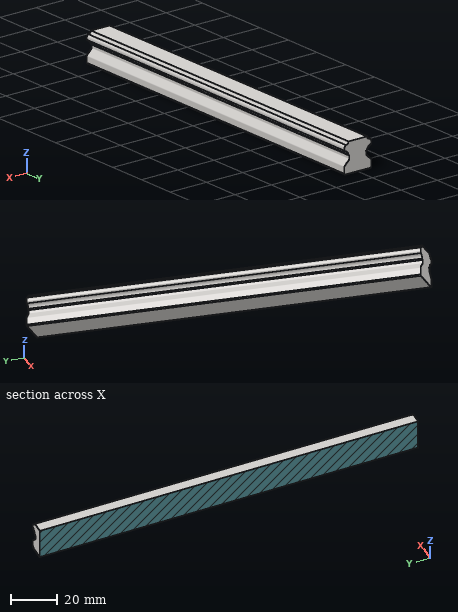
import cadquery as cq
import math

length = 180.0
width = 15.0
height = 15.0
half_width = width / 2

foot_chamfer = 0.5
shoulder_rounding = 0.9

waist_half_width = 4.7
waist_bottom = 6.7
waist_top = 8.3
waist_rounding = 0.5
foot_side_top = waist_bottom - (half_width - waist_half_width)

nose_flat_bottom = 11.7
nose_flat_top = 12.0
nose_lower_radius = 0.9
nose_upper_radius = 1.6
nose_bevel = 0.4
nose_turn = 45

raceway_inner_half_width = 5.2
raceway_sag = 0.4
crown_lip = 0.2
lower_raceway_inner = (raceway_inner_half_width, 8.8)
upper_raceway_inner = (raceway_inner_half_width, height - crown_lip)


def nose_arc_point(flat_end, radius, side, angle):
    """Point on a nose rounding after turning by angle, above (side=1) or below (side=-1) the flat."""
    turn = math.radians(angle)
    return (half_width - radius * (1 - math.cos(turn)), flat_end + side * radius * math.sin(turn))


def raceway_middle(start, end, side):
    """Mid-arc point of a raceway, sunk into the head at 45 degrees from its chord."""
    shift = raceway_sag / math.sqrt(2)
    return ((start[0] + end[0]) / 2 - shift, (start[1] + end[1]) / 2 - side * shift)


def half_section():
    """Right half of the rail section, closed along the centre plane."""
    lower_arc_middle = nose_arc_point(nose_flat_bottom, nose_lower_radius, -1, nose_turn / 2)
    lower_arc_end = nose_arc_point(nose_flat_bottom, nose_lower_radius, -1, nose_turn)
    lower_raceway_outer = (lower_arc_end[0] - nose_bevel, lower_arc_end[1] - nose_bevel)

    upper_arc_middle = nose_arc_point(nose_flat_top, nose_upper_radius, 1, nose_turn / 2)
    upper_arc_end = nose_arc_point(nose_flat_top, nose_upper_radius, 1, nose_turn)
    upper_raceway_outer = (upper_arc_end[0] - nose_bevel, upper_arc_end[1] + nose_bevel)

    return (
        cq.Workplane("XZ", origin=(0, length / 2, 0))
        .moveTo(0, 0)
        .lineTo(half_width - foot_chamfer, 0)
        .lineTo(half_width, foot_chamfer)
        .lineTo(half_width, foot_side_top)
        .lineTo(waist_half_width, waist_bottom)
        .lineTo(waist_half_width, waist_top)
        .lineTo(*lower_raceway_inner)
        .threePointArc(raceway_middle(lower_raceway_inner, lower_raceway_outer, -1), lower_raceway_outer)
        .lineTo(*lower_arc_end)
        .threePointArc(lower_arc_middle, (half_width, nose_flat_bottom))
        .lineTo(half_width, nose_flat_top)
        .threePointArc(upper_arc_middle, upper_arc_end)
        .lineTo(*upper_raceway_outer)
        .threePointArc(raceway_middle(upper_raceway_outer, upper_raceway_inner, 1), upper_raceway_inner)
        .lineTo(raceway_inner_half_width, height)
        .lineTo(0, height)
        .close()
    )


def lengthwise_edge_at(x, z):
    """Selector for the edge running along the rail through (x, z)."""
    return cq.selectors.NearestToPointSelector((x, 0, z))


right_half = half_section().extrude(length)
right_half = right_half.edges(lengthwise_edge_at(half_width, foot_side_top)).fillet(shoulder_rounding)
right_half = right_half.edges(lengthwise_edge_at(waist_half_width, waist_bottom)).fillet(waist_rounding)

result = right_half.union(right_half.mirror("YZ")).clean()